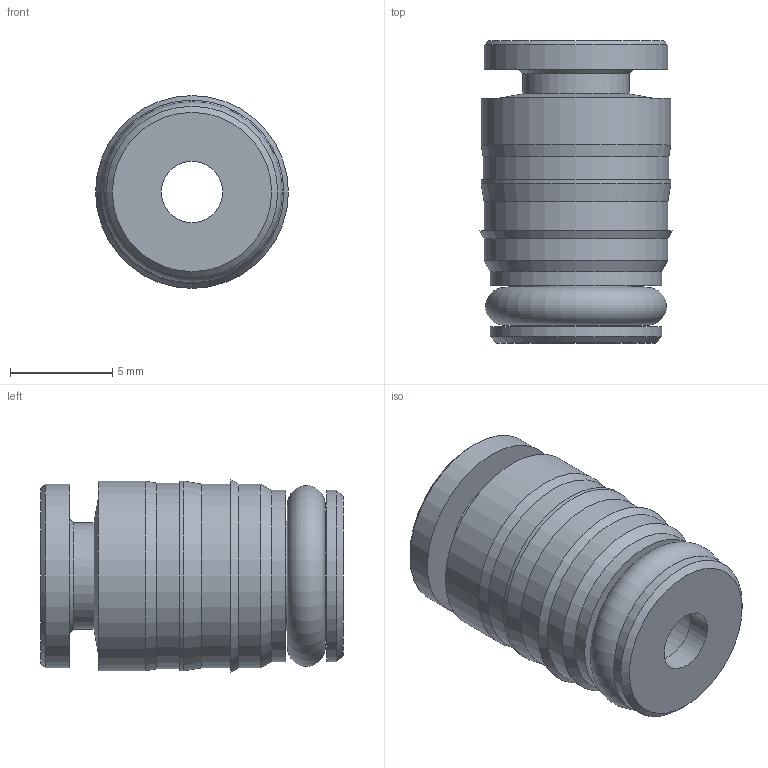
import cadquery as cq

length = 14.8
bore_radius = 1.5

lip_length = 1.15
inner_bore_radius = 2.1

collar_radius = 4.2
front_chamfer = 0.3
groove_start = 0.8
groove_end = 2.8
rear_collar_end = 3.5

ring_section_radius = 0.925
ring_outer_radius = 4.425
ring_overlap = 0.1
ring_centre_radius = ring_outer_radius - ring_section_radius
ring_centre_y = (groove_start + groove_end) / 2
groove_floor_radius = ring_centre_radius - ring_section_radius + ring_overlap

barrel_radius = 4.5
barrel_start = 4.05
barb_radius = 4.725
barb_start = 5.1
barb_end = 5.5

body_radius = 4.65
relief_radius = 4.55
rib_taper_start = 6.95
rib_taper_end = 7.8
rib_end = 8.0
body_taper_start = 9.15
body_taper_end = 9.7
body_end = 12.0

neck_radius = 2.6
cone_base_radius = 3.75
neck_start = 12.2
flare_start = 13.2
flare_end = 13.4
flare_radius = neck_radius + (flare_end - flare_start)

flange_radius = 4.5
flange_chamfer = 0.2


def turned_body():
    """Revolve the stepped outline, bore included, about the Y axis."""
    outline = [
        (bore_radius, 0),
        (collar_radius - front_chamfer, 0),
        (collar_radius, front_chamfer),
        (collar_radius, groove_start),
        (groove_floor_radius, groove_start),
        (groove_floor_radius, groove_end),
        (collar_radius, groove_end),
        (collar_radius, rear_collar_end),
        (barrel_radius, barrel_start),
        (barrel_radius, barb_start),
        (barb_radius, barb_end),
        (barrel_radius, barb_end),
        (barrel_radius, rib_taper_start),
        (body_radius, rib_taper_end),
        (body_radius, rib_end),
        (relief_radius, rib_end),
        (relief_radius, body_taper_start),
        (body_radius, body_taper_end),
        (body_radius, body_end),
        (cone_base_radius, body_end),
        (neck_radius, neck_start),
        (neck_radius, flare_start),
        (flare_radius, flare_end),
        (flange_radius, flare_end),
        (flange_radius, length - flange_chamfer),
        (flange_radius - flange_chamfer, length),
        (inner_bore_radius, length),
        (inner_bore_radius, lip_length),
        (bore_radius, lip_length),
    ]
    points = [(y, radius) for radius, y in outline]
    return cq.Workplane("YZ").polyline(points).close().revolve(360, (0, 0, 0), (1, 0, 0))


def sealing_ring():
    """Revolve the round ring section about the Y axis."""
    section = cq.Workplane("XY").center(-ring_centre_radius, ring_centre_y).circle(ring_section_radius)
    return section.revolve(360, (ring_centre_radius, 0, 0), (ring_centre_radius, 1, 0))


result = turned_body().union(sealing_ring())